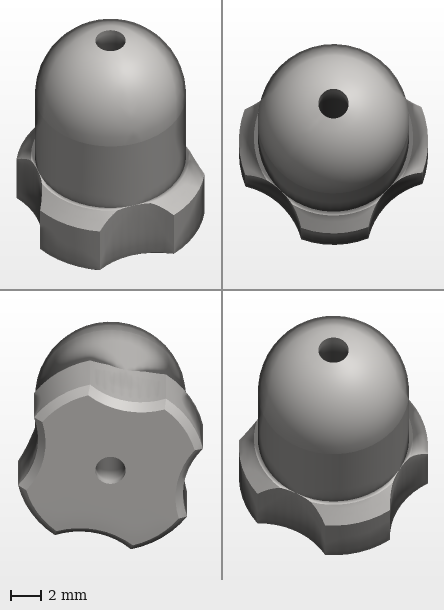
import cadquery as cq
import math

total_height = 15.52
body_radius = 5.0
hole_diameter = 2.0
hole_radius = hole_diameter / 2

collar_radius = 6.25
collar_height = 5.01
top_chamfer = 1.0
bottom_chamfer = 0.5

scallop_count = 4
scallop_radius = body_radius

dome_center_height = total_height - math.sqrt(body_radius**2 - hole_radius**2)
scallop_center_distance = body_radius + scallop_radius


def make_collar():
    """Grip collar: a round bar with a conical top, scalloped, then chamfered all along its bottom outline."""
    collar = cq.Workplane("XY").circle(collar_radius).extrude(collar_height)
    collar = collar.faces(">Z").chamfer(top_chamfer)
    scallops = (
        cq.Workplane("XY")
        .polarArray(scallop_center_distance, 0, 360, scallop_count)
        .circle(scallop_radius)
        .extrude(collar_height)
    )
    return collar.cut(scallops).faces("<Z").chamfer(bottom_chamfer)


def make_domed_body():
    """Cylinder rising from the collar top, capped by a hemisphere of the same radius."""
    dome_shoulder = (body_radius, dome_center_height)
    dome_tip = (0, dome_center_height + body_radius)
    dome_middle = (
        body_radius * math.cos(math.pi / 4),
        dome_center_height + body_radius * math.sin(math.pi / 4),
    )
    return (
        cq.Workplane("XZ")
        .moveTo(0, collar_height)
        .lineTo(body_radius, collar_height)
        .lineTo(*dome_shoulder)
        .threePointArc(dome_middle, dome_tip)
        .close()
        .revolve(360, (0, 0, 0), (0, 1, 0))
    )


def make_through_hole():
    """Axial hole, long enough to pass the untrimmed tip of the dome."""
    return cq.Workplane("XY").circle(hole_radius).extrude(dome_center_height + body_radius)


result = make_domed_body().union(make_collar()).cut(make_through_hole())